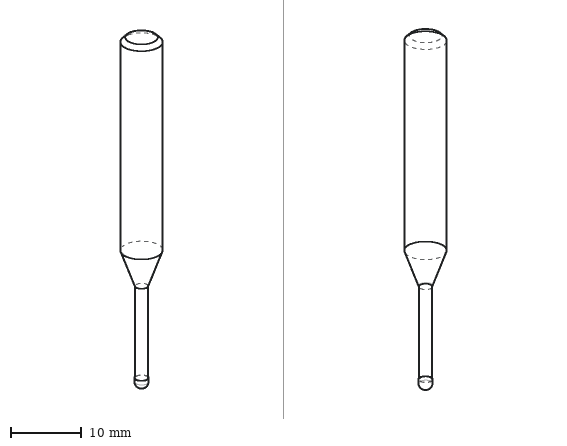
import cadquery as cq
import math


overall_length = 55.0
shank_diameter = 6.0
shank_chamfer = 0.7
head_diameter = 2.05
head_length = 1.6
neck_diameter = 1.85
neck_end_height = 16.0
neck_flare_height = 0.15
taper_end_height = 21.6

shank_radius = shank_diameter / 2
head_radius = head_diameter / 2
neck_radius = neck_diameter / 2
taper_start_height = neck_end_height + neck_flare_height


def revolve_about_z(profile):
    """Turn a closed XZ half-profile a full circle about the Z axis."""
    return profile.revolve(360, (0, 0, 0), (0, 1, 0))


def make_cutting_head():
    """Hemispherical tip with a short cylindrical band above it."""
    arc_offset = head_radius * math.sqrt(0.5)
    arc_middle = (arc_offset, head_radius - arc_offset)
    profile = (
        cq.Workplane("XZ")
        .moveTo(0, 0)
        .threePointArc(arc_middle, (head_radius, head_radius))
        .lineTo(head_radius, head_length)
        .lineTo(0, head_length)
        .close()
    )
    return revolve_about_z(profile)


def make_shank():
    """Slim neck, taper and chamfered cylindrical shank, seated on the cutting head."""
    profile = (
        cq.Workplane("XZ")
        .moveTo(0, head_length)
        .lineTo(neck_radius, head_length)
        .lineTo(neck_radius, neck_end_height)
        .lineTo(head_radius, taper_start_height)
        .lineTo(shank_radius, taper_end_height)
        .lineTo(shank_radius, overall_length - shank_chamfer)
        .lineTo(shank_radius - shank_chamfer, overall_length)
        .lineTo(0, overall_length)
        .close()
    )
    return revolve_about_z(profile)


cutting_head = make_cutting_head()
shank = make_shank()

result = cq.Compound.makeCompound([cutting_head.val(), shank.val()])